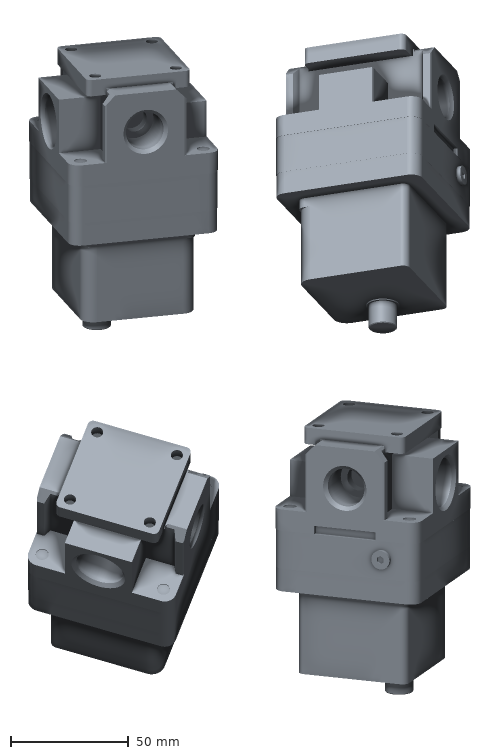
import cadquery as cq

CONNECTOR_COLLAR_BOTTOM = 10.1
MOTOR_BOTTOM = 10.6
MOTOR_FLANGE_BOTTOM = 44.4
LOWER_PLATE_BOTTOM = 48.5
MIDDLE_PLATE_BOTTOM = 58.5
UPPER_BODY_BOTTOM = 75.3
SHOULDER = 84.7
COVER_BOTTOM = 111.7
TOP = 119.0

LOWER_PLATE_WIDTH = 65.9
MIDDLE_PLATE_WIDTH = 66.0
UPPER_WIDTH_X = 66.2
UPPER_WIDTH_Y = 66.4
BODY_CORNER_RADIUS = 5.0
SCREW_SPACING = 54.5
SCREW_DIAMETER = 5.5
SCREW_RECESS_DEPTH = 0.4

MOTOR_WIDTH = 50.0
MOTOR_CORNER_RADIUS = 3.1
MOTOR_BIG_CORNER_RADIUS = 5.8

CONNECTOR_Y = -11.9
CONNECTOR_DIAMETER = 12.1
CONNECTOR_COLLAR_DIAMETER = 14.3
CONNECTOR_TIP_CHAMFER = 0.4

COVER_WIDTH = 46.0
COVER_CORNER_RADIUS = 2.4
COVER_HOLE_SPACING = 35.8
COVER_HOLE_DIAMETER = 5.1
COVER_HOLE_DEPTH = 4.8

SIDE_BLOCK_TOP = 114.7
FLANGE_HALF_WIDTH = 18.1
NECK_HALF_WIDTH = 14.6
FLANGE_THICKNESS = 3.6
TAPER_LENGTH = 1.7
SIDE_BLOCK_TOP_CHAMFER = 4.5
SIDE_BLOCK_INNER_X = 23.7
INNER_LIP_THICKNESS = 0.6

FRONT_BLOCK_WIDTH = 30.1
FRONT_BLOCK_TOP = 108.8
BACK_BLOCK_WIDTH = 24.8
BACK_BLOCK_TOP = 100.8

EDGE_CHAMFER_LONG = 1.0
EDGE_CHAMFER_SHORT = 0.4

PORT_CHAMFER = 1.5
FRONT_PORT_Z = 94.1
FRONT_PORT_DIAMETER = 21.1
FRONT_PORT_DEPTH = 20.2
SIDE_PORT_Z = 97.0
SIDE_PORT_DIAMETER = 16.7
SIDE_PORT_DEPTH = 16.7
SIDE_PASSAGE_DIAMETER = 10.7
SIDE_PASSAGE_DEPTH = 4.8

SLOT_WIDTH = 27.8
SLOT_HEIGHT = 3.7
SLOT_DEPTH = 1.8

SIDE_SCREW_Y = -16.9
SIDE_SCREW_Z = 67.5
SIDE_SCREW_DIAMETER = 8.2
SIDE_SCREW_REACH = 34.9
SOCKET_DIAMETER = 3.6
SOCKET_DEPTH = 1.2

HALF_X = UPPER_WIDTH_X / 2
HALF_Y = UPPER_WIDTH_Y / 2


def box_between(x_range, y_range, z_range):
    """Box given by its lower and upper limits along each axis."""
    x_low, x_high = x_range
    y_low, y_high = y_range
    z_low, z_high = z_range
    size = (x_high - x_low, y_high - y_low, z_high - z_low)
    return cq.Workplane(cq.Solid.makeBox(*size, cq.Vector(x_low, y_low, z_low)))


def slab(width_x, width_y, bottom, top, corner_radius):
    """Centred rectangular slab with rounded vertical edges."""
    block = cq.Workplane("XY", origin=(0, 0, bottom)).rect(width_x, width_y).extrude(top - bottom)
    return block.edges("|Z").fillet(corner_radius)


def round_bar(center, direction, diameter, length):
    """Cylinder from a centre point along a direction."""
    bar = cq.Solid.makeCylinder(diameter / 2, length, cq.Vector(*center), cq.Vector(*direction))
    return cq.Workplane(bar)


def square_pattern(diameter, spacing, top, depth):
    """Four vertical hole cutters on a square, reaching down from a top height."""
    pattern = cq.Workplane("XY", origin=(0, 0, top)).rect(spacing, spacing, forConstruction=True)
    return pattern.vertices().circle(diameter / 2).extrude(-depth)


def port(mouth, direction, diameter, depth):
    """Blind hole cutter with a 45 degree countersunk mouth."""
    radius = diameter / 2
    cone = cq.Solid.makeCone(
        radius + PORT_CHAMFER, radius, PORT_CHAMFER, cq.Vector(*mouth), cq.Vector(*direction)
    )
    return round_bar(mouth, direction, diameter, depth).union(cq.Workplane(cone))


def motor():
    flange = slab(MOTOR_WIDTH, MOTOR_WIDTH, MOTOR_FLANGE_BOTTOM, LOWER_PLATE_BOTTOM, MOTOR_CORNER_RADIUS)
    housing = (
        cq.Workplane("XY", origin=(0, 0, MOTOR_BOTTOM))
        .rect(MOTOR_WIDTH, MOTOR_WIDTH)
        .extrude(MOTOR_FLANGE_BOTTOM - MOTOR_BOTTOM)
    )
    housing = housing.edges("|Z and <X").fillet(MOTOR_CORNER_RADIUS)
    housing = housing.edges("|Z and >X").fillet(MOTOR_BIG_CORNER_RADIUS)
    return flange.union(housing)


def connector():
    base = (0, CONNECTOR_Y, MOTOR_BOTTOM)
    down = (0, 0, -1)
    plug = round_bar(base, down, CONNECTOR_DIAMETER, MOTOR_BOTTOM).faces("<Z").chamfer(CONNECTOR_TIP_CHAMFER)
    collar = round_bar(base, down, CONNECTOR_COLLAR_DIAMETER, MOTOR_BOTTOM - CONNECTOR_COLLAR_BOTTOM)
    return plug.union(collar)


def body():
    lower = slab(
        LOWER_PLATE_WIDTH, LOWER_PLATE_WIDTH, LOWER_PLATE_BOTTOM, MIDDLE_PLATE_BOTTOM, BODY_CORNER_RADIUS
    )
    middle = slab(
        MIDDLE_PLATE_WIDTH, MIDDLE_PLATE_WIDTH, MIDDLE_PLATE_BOTTOM, UPPER_BODY_BOTTOM, BODY_CORNER_RADIUS
    )
    upper = slab(UPPER_WIDTH_X, UPPER_WIDTH_Y, UPPER_BODY_BOTTOM, SHOULDER, BODY_CORNER_RADIUS)
    recesses = square_pattern(SCREW_DIAMETER, SCREW_SPACING, SHOULDER, SCREW_RECESS_DEPTH)
    return lower.union(middle).union(upper).cut(recesses)


def side_block():
    """Port block on the +X side, running inward to the middle of the part."""
    flange_inner_x = HALF_X - FLANGE_THICKNESS
    half_outline = [
        (HALF_X, FLANGE_HALF_WIDTH - EDGE_CHAMFER_LONG),
        (HALF_X - EDGE_CHAMFER_SHORT, FLANGE_HALF_WIDTH),
        (flange_inner_x, FLANGE_HALF_WIDTH),
        (flange_inner_x - TAPER_LENGTH, NECK_HALF_WIDTH),
        (0, NECK_HALF_WIDTH),
    ]
    other_half = [(x, -y) for x, y in reversed(half_outline)]
    block = (
        cq.Workplane("XY", origin=(0, 0, SHOULDER))
        .polyline(half_outline + other_half)
        .close()
        .extrude(SIDE_BLOCK_TOP - SHOULDER)
    )
    chamfered_envelope = (
        box_between((0, HALF_X), (-FLANGE_HALF_WIDTH, FLANGE_HALF_WIDTH), (SHOULDER, SIDE_BLOCK_TOP))
        .edges("|X and >Z")
        .chamfer(SIDE_BLOCK_TOP_CHAMFER)
    )
    inner_lip = box_between(
        (SIDE_BLOCK_INNER_X, SIDE_BLOCK_INNER_X + INNER_LIP_THICKNESS),
        (-NECK_HALF_WIDTH, NECK_HALF_WIDTH),
        (SHOULDER, SIDE_BLOCK_TOP),
    )
    cover_space = box_between((0, SIDE_BLOCK_INNER_X), (-HALF_Y, HALF_Y), (COVER_BOTTOM, TOP))
    return block.intersect(chamfered_envelope).union(inner_lip).cut(cover_space)


def front_block():
    half_width = FRONT_BLOCK_WIDTH / 2
    return box_between((-half_width, half_width), (-HALF_Y, 0), (SHOULDER, FRONT_BLOCK_TOP))


def back_block():
    half_width = BACK_BLOCK_WIDTH / 2
    outline = [
        (-half_width, 0),
        (-half_width, HALF_Y - EDGE_CHAMFER_LONG),
        (-half_width + EDGE_CHAMFER_SHORT, HALF_Y),
        (half_width - EDGE_CHAMFER_SHORT, HALF_Y),
        (half_width, HALF_Y - EDGE_CHAMFER_LONG),
        (half_width, 0),
    ]
    plan = cq.Workplane("XY", origin=(0, 0, SHOULDER)).polyline(outline).close()
    return plan.extrude(BACK_BLOCK_TOP - SHOULDER)


def cover():
    plate = slab(COVER_WIDTH, COVER_WIDTH, COVER_BOTTOM, TOP, COVER_CORNER_RADIUS)
    return plate.cut(square_pattern(COVER_HOLE_DIAMETER, COVER_HOLE_SPACING, TOP, COVER_HOLE_DEPTH))


def side_port():
    """Stepped port cutter entering the +X side block."""
    mouth = (HALF_X, 0, SIDE_PORT_Z)
    inward = (-1, 0, 0)
    passage = round_bar(mouth, inward, SIDE_PASSAGE_DIAMETER, SIDE_PORT_DEPTH + SIDE_PASSAGE_DEPTH)
    return port(mouth, inward, SIDE_PORT_DIAMETER, SIDE_PORT_DEPTH).union(passage)


def slot():
    return box_between(
        (-HALF_X, -HALF_X + SLOT_DEPTH),
        (-SLOT_WIDTH / 2, SLOT_WIDTH / 2),
        (UPPER_BODY_BOTTOM, UPPER_BODY_BOTTOM + SLOT_HEIGHT),
    )


def side_screw():
    """Round screw head with a hex socket, one socket corner pointing up."""
    head_center = (-SIDE_SCREW_REACH, SIDE_SCREW_Y, SIDE_SCREW_Z)
    head_height = SIDE_SCREW_REACH - MIDDLE_PLATE_WIDTH / 2
    head = round_bar(head_center, (1, 0, 0), SIDE_SCREW_DIAMETER, head_height)
    socket_plane = cq.Plane(origin=head_center, xDir=(0, 0, 1), normal=(1, 0, 0))
    socket = cq.Workplane(socket_plane).polygon(6, SOCKET_DIAMETER).extrude(SOCKET_DEPTH)
    return head.cut(socket)


right_block = side_block()
left_block = right_block.mirror("YZ")
right_port = side_port()
left_port = right_port.mirror("YZ")
front_port = port((0, -HALF_Y, FRONT_PORT_Z), (0, 1, 0), FRONT_PORT_DIAMETER, FRONT_PORT_DEPTH)

added_sections = [
    motor(),
    connector(),
    right_block,
    left_block,
    front_block(),
    back_block(),
    cover(),
    side_screw(),
]

result = body()
for section in added_sections:
    result = result.union(section)
for cutter in (front_port, right_port, left_port, slot()):
    result = result.cut(cutter)